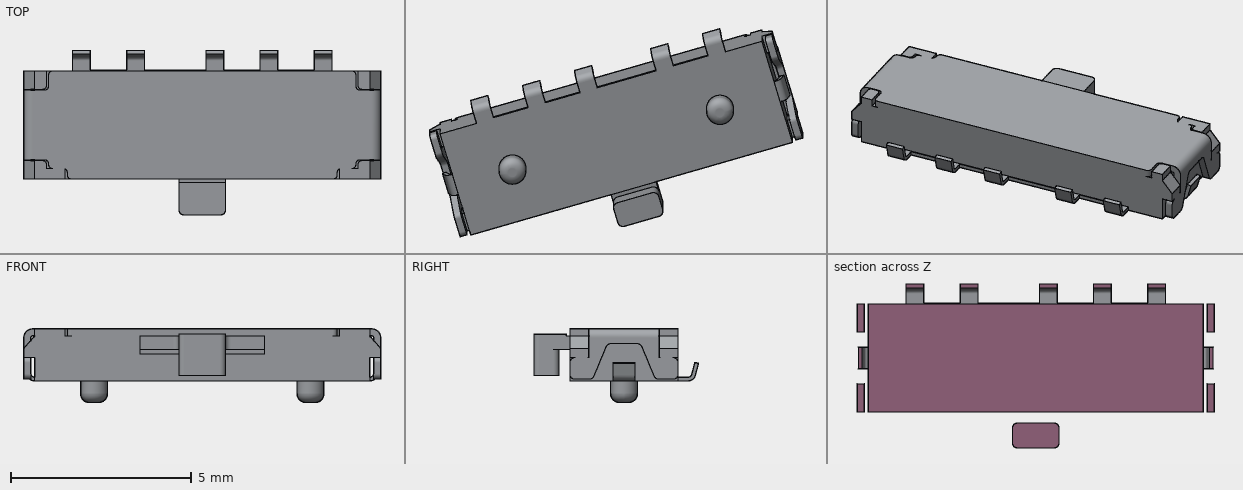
import cadquery as cq
import math


BODY_DEPTH = 3.0
HOUSING_LENGTH = 9.3
TOP_Z = 1.45

OVERALL_LENGTH = 9.9
SHEET = 0.2
BEND_RADIUS = 0.25
COVER_END_HALF_WIDTH = 0.965
COVER_CORNER_X = 4.26
COVER_FRONT_X = 3.74
COVER_STEP_Y = -1.21
COVER_CORNER_RADIUS = 0.115
LEG_BOTTOM_Z = 0.05
FOOT_TOP_Z = 0.65
FOOT_CORNER_RADIUS = 0.14
ARCH_TOP_Z = 1.04
ARCH_TOP_HALF_WIDTH = 0.46
ARCH_BOTTOM_HALF_WIDTH = 0.87
ARCH_RADIUS = 0.15

POST_GAP_X = 0.06
POST_GAP_Y = 0.025
POST_CORNER_RADIUS = 0.1
SHOULDER_Z = 0.9

WINDOW_LENGTH = 3.44
WINDOW_FLOOR_Z = 0.75
WINDOW_DEPTH = 0.5
SLIDER_RECESS = 0.3
SLIDER_BOTTOM_Z = 0.87
LEVER_WIDTH = 1.3
LEVER_REACH = 1.0
LEVER_TOP_Z = 1.3
LEVER_BOTTOM_Z = 0.15
LEVER_RADIUS = 0.15
KNOB_DEPTH = 0.7
NECK_STEP = 0.1

TERMINAL_X = (-3.35, -1.85, 0.35, 1.85, 3.35)
TERMINAL_WIDTH = 0.5
TERMINAL_REACH = 0.57
LEAD_THICKNESS = 0.11
LEAD_HEIGHT = 0.52
LEAD_ANGLE = 75.0
LEAD_INNER_RADIUS = 0.1
STRIP_PROUD = 0.025
TAB_WIDTH = 0.6
TAB_TIP_X = 4.94
LEAD_ROOT = 0.2

PEG_X = 3.0
PEG_DIAMETER = 0.75
PEG_LENGTH = 0.6
PEG_TIP_RADIUS = 0.25

BACK_Y = BODY_DEPTH / 2
FRONT_Y = -BODY_DEPTH / 2
HOUSING_END_X = HOUSING_LENGTH / 2
END_X = OVERALL_LENGTH / 2
DECK_Z = TOP_Z - SHEET


def box(x0, x1, y0, y1, z0, z1):
    """Axis-aligned block between two opposite corners."""
    return cq.Workplane("XY").box(x1 - x0, y1 - y0, z1 - z0, centered=False).translate((x0, y0, z0))


def both_ends(solid):
    """The solid together with its mirror image at the other end of the switch."""
    return solid.union(solid.mirror("YZ"))


def cover_half_outline(gap_x, gap_y):
    """Plan outline of the +X half of the cover, grown by a clearance."""
    corner_x = COVER_CORNER_X + gap_x
    front_x = COVER_FRONT_X + gap_x
    end_y = COVER_END_HALF_WIDTH + gap_y
    return [
        (0, FRONT_Y),
        (front_x, FRONT_Y),
        (front_x, COVER_STEP_Y),
        (corner_x, COVER_STEP_Y),
        (corner_x, -end_y),
        (END_X, -end_y),
        (END_X, end_y),
        (corner_x, end_y),
        (corner_x, BACK_Y),
        (0, BACK_Y),
    ]


def cover_footprint():
    """Full-height prism of the cover plan, rounded at all notch corners."""
    half = cq.Workplane("XY").polyline(cover_half_outline(0, 0)).close().extrude(TOP_Z)
    notch_edges = cq.selectors.BoxSelector(
        (COVER_FRONT_X - SHEET, FRONT_Y - SHEET, 0),
        (COVER_CORNER_X + SHEET, BACK_Y + SHEET, TOP_Z),
    )
    return both_ends(half.edges("|Z").edges(notch_edges).fillet(COVER_CORNER_RADIUS))


def bent_sheet():
    """Top sheet bent down into a leg at both ends."""
    outer = box(-END_X, END_X, FRONT_Y, BACK_Y, LEG_BOTTOM_Z, TOP_Z)
    outer = outer.edges("|Y and >Z").fillet(BEND_RADIUS)
    inner = box(SHEET - END_X, END_X - SHEET, FRONT_Y, BACK_Y, LEG_BOTTOM_Z, DECK_Z)
    inner = inner.edges("|Y and >Z").fillet(BEND_RADIUS - SHEET)
    return outer.cut(inner)


def leg_arch():
    """Trapezoidal opening through both legs, flared out at the leg bottom."""
    arch = (
        cq.Workplane("YZ")
        .moveTo(-ARCH_BOTTOM_HALF_WIDTH, LEG_BOTTOM_Z)
        .lineTo(-ARCH_TOP_HALF_WIDTH, ARCH_TOP_Z)
        .lineTo(ARCH_TOP_HALF_WIDTH, ARCH_TOP_Z)
        .lineTo(ARCH_BOTTOM_HALF_WIDTH, LEG_BOTTOM_Z)
        .close()
        .extrude(END_X, both=True)
    )
    return arch.edges("|X and >Z").fillet(ARCH_RADIUS)


def make_foot(side):
    """Outward extension of a leg towards one side (side = +1 or -1 along Y)."""
    foot = box(END_X - SHEET, END_X, 0, BACK_Y, LEG_BOTTOM_Z, FOOT_TOP_Z)
    foot = foot.edges("|X and >Y").fillet(FOOT_CORNER_RADIUS)
    if side < 0:
        foot = foot.mirror("XZ")
    return foot


def make_cover():
    """Cover sheet with arched legs and wide feet."""
    sheet = bent_sheet().intersect(cover_footprint())
    feet = both_ends(make_foot(1).union(make_foot(-1)))
    cover = sheet.union(feet).cut(leg_arch())
    arch_mouth = cq.selectors.BoxSelector(
        (-END_X, -COVER_END_HALF_WIDTH, LEG_BOTTOM_Z - SHEET),
        (END_X, COVER_END_HALF_WIDTH, LEG_BOTTOM_Z + SHEET),
    )
    return cover.edges("|X").edges(arch_mouth).fillet(ARCH_RADIUS)


def make_posts():
    """Corner posts standing up around the notches of the cover."""
    clearance = (
        cq.Workplane("XY")
        .workplane(offset=DECK_Z)
        .polyline(cover_half_outline(POST_GAP_X, POST_GAP_Y))
        .close()
        .extrude(SHEET)
    )
    posts = box(0, HOUSING_END_X, FRONT_Y, BACK_Y, DECK_Z, TOP_Z).cut(clearance)
    corner_x = COVER_CORNER_X + POST_GAP_X
    corner_y = COVER_END_HALF_WIDTH + POST_GAP_Y
    inner_corners = cq.selectors.BoxSelector(
        (corner_x - POST_CORNER_RADIUS, -corner_y - POST_CORNER_RADIUS, DECK_Z),
        (corner_x + POST_CORNER_RADIUS, corner_y + POST_CORNER_RADIUS, TOP_Z),
    )
    return both_ends(posts.edges("|Z").edges(inner_corners).fillet(POST_CORNER_RADIUS))


def make_shoulders():
    """Sloped lugs on the end faces, one at each corner, above the feet."""
    slope = (
        cq.Workplane("XZ")
        .moveTo(HOUSING_END_X, FOOT_TOP_Z)
        .lineTo(END_X, FOOT_TOP_Z)
        .lineTo(END_X, SHOULDER_Z)
        .lineTo(HOUSING_END_X, DECK_Z)
        .close()
        .extrude(BACK_Y, both=True)
    )
    half_width = COVER_END_HALF_WIDTH + POST_GAP_Y
    middle = box(HOUSING_END_X, END_X, -half_width, half_width, FOOT_TOP_Z, TOP_Z)
    return both_ends(slope.cut(middle))


def make_housing():
    """Housing block with the front window, corner posts and end shoulders."""
    block = box(-HOUSING_END_X, HOUSING_END_X, FRONT_Y, BACK_Y, 0, DECK_Z)
    half = WINDOW_LENGTH / 2
    window = box(-half, half, FRONT_Y, FRONT_Y + WINDOW_DEPTH, WINDOW_FLOOR_Z, DECK_Z)
    return block.cut(window).union(make_posts()).union(make_shoulders())


def make_slider():
    """Slider behind the window, its neck and the hooked lever knob."""
    half_window = WINDOW_LENGTH / 2
    half_lever = LEVER_WIDTH / 2
    face_y = FRONT_Y + SLIDER_RECESS
    tip_y = FRONT_Y - LEVER_REACH
    step_y = FRONT_Y - NECK_STEP
    knob_back_y = tip_y + KNOB_DEPTH

    carriage = box(-half_window, half_window, face_y, FRONT_Y + WINDOW_DEPTH, SLIDER_BOTTOM_Z, DECK_Z)
    neck = box(-half_lever, half_lever, knob_back_y, face_y, SLIDER_BOTTOM_Z, DECK_Z)
    root = carriage.union(neck)
    root_edges = cq.selectors.BoxSelector(
        (-LEVER_WIDTH, face_y - LEVER_RADIUS, 0),
        (LEVER_WIDTH, face_y + LEVER_RADIUS, TOP_Z),
    )
    root = root.edges("|Z").edges(root_edges).fillet(LEVER_RADIUS)

    knob = box(-half_lever, half_lever, tip_y, knob_back_y, LEVER_BOTTOM_Z, LEVER_TOP_Z)
    knob = knob.edges("|Z").fillet(LEVER_RADIUS)
    top = box(-half_lever, half_lever, tip_y + KNOB_DEPTH / 2, step_y, SLIDER_BOTTOM_Z, LEVER_TOP_Z)
    return root.union(knob).union(top)


def make_lead(width, root_x, tip_x):
    """Flat lead along +X from root_x, bent up to end at tip_x, centred on Y."""
    angle = math.radians(LEAD_ANGLE)
    outer_radius = LEAD_INNER_RADIUS + LEAD_THICKNESS
    along = (math.cos(angle), math.sin(angle))
    inward = (-math.sin(angle), math.cos(angle))

    bend_rise = outer_radius * (1 - math.cos(angle))
    straight = (LEAD_HEIGHT - bend_rise - LEAD_THICKNESS * inward[1]) / along[1]
    bend_x = tip_x - straight * along[0] - outer_radius * math.sin(angle)

    def bend_point(radius, sweep):
        return (bend_x + radius * math.sin(sweep), outer_radius - radius * math.cos(sweep))

    outer_end = bend_point(outer_radius, angle)
    inner_end = bend_point(LEAD_INNER_RADIUS, angle)
    outer_tip = (outer_end[0] + straight * along[0], outer_end[1] + straight * along[1])
    inner_tip = (inner_end[0] + straight * along[0], inner_end[1] + straight * along[1])
    return (
        cq.Workplane("XZ")
        .moveTo(root_x, 0)
        .lineTo(bend_x, 0)
        .threePointArc(bend_point(outer_radius, angle / 2), outer_end)
        .lineTo(*outer_tip)
        .lineTo(*inner_tip)
        .lineTo(*inner_end)
        .threePointArc(bend_point(LEAD_INNER_RADIUS, angle / 2), (bend_x, LEAD_THICKNESS))
        .lineTo(root_x, LEAD_THICKNESS)
        .close()
        .extrude(width / 2, both=True)
    )


def make_leads():
    """Solder terminals along the back, the strip joining them and a tab at each end."""
    leads = both_ends(make_lead(TAB_WIDTH, HOUSING_END_X - LEAD_ROOT, TAB_TIP_X))
    terminal = make_lead(TERMINAL_WIDTH, BACK_Y - LEAD_ROOT, BACK_Y + TERMINAL_REACH)
    terminal = terminal.rotate((0, 0, 0), (0, 0, 1), 90)
    for x in TERMINAL_X:
        leads = leads.union(terminal.translate((x, 0, 0)))
    strip = box(
        TERMINAL_X[0], TERMINAL_X[-1], BACK_Y - LEAD_ROOT, BACK_Y + STRIP_PROUD, 0, LEAD_THICKNESS
    )
    return leads.union(strip)


def make_pegs():
    """Two round-tipped locating pegs under the housing."""
    peg = cq.Workplane("XY").circle(PEG_DIAMETER / 2).extrude(-PEG_LENGTH)
    peg = peg.faces("<Z").edges().fillet(PEG_TIP_RADIUS)
    return both_ends(peg.translate((PEG_X, 0, 0)))


result = make_housing()
for part in (make_cover(), make_slider(), make_leads(), make_pegs()):
    result = result.union(part, clean=False)